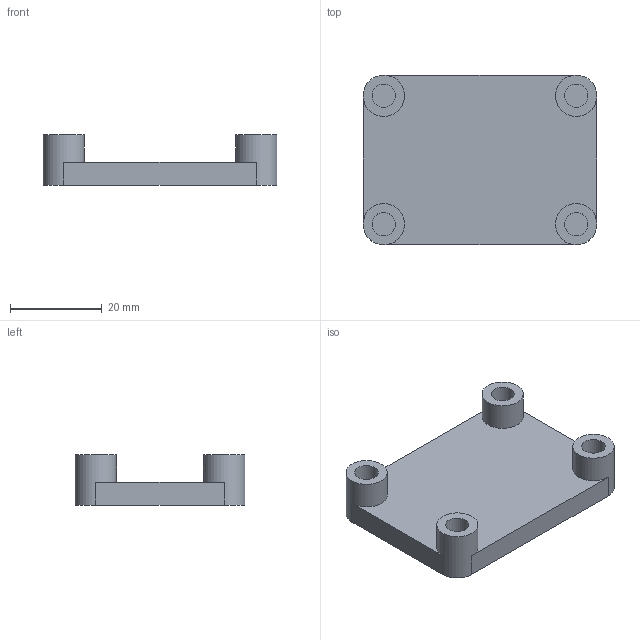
import cadquery as cq

spacing_x = 41.91
spacing_y = 27.94

plate_thickness = 5.0
overall_height = 11.0
standoff_diameter = 9.0
hole_diameter = 5.1
hole_depth = overall_height - plate_thickness

standoff_radius = standoff_diameter / 2
plate_length = spacing_x + standoff_diameter
plate_width = spacing_y + standoff_diameter


def make_plate():
    """Plate on Z = 0, its corners cut back so that the standoffs round them off."""
    return (
        cq.Workplane("XY")
        .rect(plate_length, plate_width)
        .extrude(plate_thickness)
        .edges("|Z")
        .chamfer(standoff_radius)
    )


def corner_cylinders(diameter, bottom, top):
    """One vertical cylinder at each corner of the hole pattern."""
    return (
        cq.Workplane("XY", origin=(0, 0, bottom))
        .rect(spacing_x, spacing_y, forConstruction=True)
        .vertices()
        .circle(diameter / 2)
        .extrude(top - bottom)
    )


standoffs = corner_cylinders(standoff_diameter, 0, overall_height)
holes = corner_cylinders(hole_diameter, overall_height - hole_depth, overall_height)

result = make_plate().union(standoffs).cut(holes)